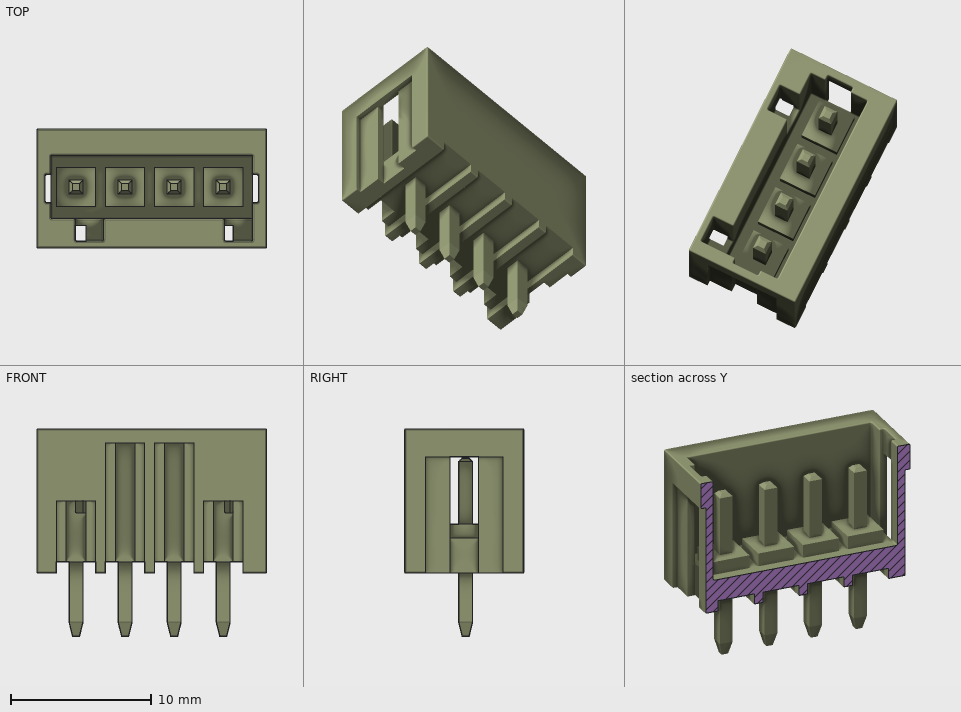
import cadquery as cq
LENGTH = 16.4
WIDTH = 8.5
HEIGHT = 10.3
EDGE_RADIUS = 0.1

CAVITY_LENGTH = 14.4
CAVITY_WIDTH = 4.5
CAVITY_Y = 0.1
FLOOR_Z = 2.5

PIN_COUNT = 4
PIN_PITCH = 3.5
PIN_ROW_X = -0.15
PIN_Y = 0.1
PIN_SIZE = 1.0
PIN_TOP_Z = 8.2
PIN_BOTTOM_Z = -4.5
PIN_TOP_CHAMFER = 0.25
PIN_TIP_INSET = 0.25
PIN_TIP_LENGTH = 1.0
PEDESTAL_SIZE = 2.8
PEDESTAL_TOP_Z = 3.5
PIN_XS = [PIN_ROW_X + (i - (PIN_COUNT - 1) / 2) * PIN_PITCH for i in range(PIN_COUNT)]

LATCH_Y = 0
LATCH_WIDTH = 2.0
LATCH_DEPTH = 0.4
RECESS_WIDTH = 5.5
RECESS_DEPTH = 0.4
RECESS_TOP_Z = 8.3

KEY_WIDTH = 2.0
KEY_FRONT_Y = -3.75
KEY_FLOOR_Z = 4.3
LEFT_KEY_X = -4.45
RIGHT_KEY_X = CAVITY_LENGTH / 2 - KEY_WIDTH / 2

SLOT_WIDTH = 2.8
SLOT_DEPTH = 0.35
INNER_SLOT_WIDTH = 1.4
INNER_SLOT_DEPTH = 1.6
OUTER_SLOT_TOP_Z = 5.15
MIDDLE_SLOT_TOP_Z = 9.3
CHANNEL_DEPTH = 0.8


def box(x_range, y_range, z_range):
    """Axis-aligned block between the given limits."""
    size = [high - low for low, high in (x_range, y_range, z_range)]
    corner = (x_range[0], y_range[0], z_range[0])
    return cq.Workplane("XY").box(*size, centered=False).translate(corner)


def span(center, size):
    """Limits of a length centred on a coordinate."""
    return (center - size / 2, center + size / 2)


def make_shell():
    """Outer block with its edges rounded."""
    block = box(span(0, LENGTH), span(0, WIDTH), (0, HEIGHT))
    return block.edges().fillet(EDGE_RADIUS)


def make_cavity():
    """Space of the cavity with its latch and key pockets, rounded at its corners and floors."""
    latch_length = CAVITY_LENGTH + 2 * LATCH_DEPTH
    cavity = box(span(0, CAVITY_LENGTH), span(CAVITY_Y, CAVITY_WIDTH), (FLOOR_Z, HEIGHT))
    cavity = cavity.union(box(span(0, latch_length), span(LATCH_Y, LATCH_WIDTH), (FLOOR_Z, HEIGHT)))
    for key_x in (LEFT_KEY_X, RIGHT_KEY_X):
        key = box(span(key_x, KEY_WIDTH), (KEY_FRONT_Y, CAVITY_Y), (KEY_FLOOR_Z, HEIGHT))
        cavity = cavity.union(key)
    return cavity.clean().edges("not(>Z)").fillet(EDGE_RADIUS)


def cut_cavity(body):
    """Sink the cavity into the body and round its mouth."""
    body = body.cut(make_cavity())
    inside = cq.selectors.BoxSelector(
        (-LENGTH / 2 + 2 * EDGE_RADIUS, -WIDTH / 2 + 2 * EDGE_RADIUS, HEIGHT - EDGE_RADIUS / 2),
        (LENGTH / 2 - 2 * EDGE_RADIUS, WIDTH / 2 - 2 * EDGE_RADIUS, HEIGHT + EDGE_RADIUS / 2),
    )
    return body.edges(inside).fillet(EDGE_RADIUS)


def cut_end_recesses(body):
    """Recess both end walls and open a window from each recess into the cavity."""
    for side in (-1, 1):
        outer_x = side * LENGTH / 2
        recess_x = sorted((outer_x, outer_x - side * RECESS_DEPTH))
        window_x = sorted((outer_x, side * CAVITY_LENGTH / 2))
        body = body.cut(box(recess_x, span(LATCH_Y, RECESS_WIDTH), (0, RECESS_TOP_Z)))
        body = body.cut(box(window_x, span(LATCH_Y, LATCH_WIDTH), (0, RECESS_TOP_Z)))
    return body


def cut_front_slots(body):
    """Cut the stepped front slot and the underside channel at each pin."""
    front_y = -WIDTH / 2
    for i, x in enumerate(PIN_XS):
        is_outer = i in (0, PIN_COUNT - 1)
        top_z = OUTER_SLOT_TOP_Z if is_outer else MIDDLE_SLOT_TOP_Z
        body = body.cut(box(span(x, SLOT_WIDTH), (front_y, front_y + SLOT_DEPTH), (0, top_z)))
        body = body.cut(box(span(x, INNER_SLOT_WIDTH), (front_y, front_y + INNER_SLOT_DEPTH), (0, top_z)))
        body = body.cut(box(span(x, SLOT_WIDTH), span(0, WIDTH), (0, CHANNEL_DEPTH)))
    return body


def make_pin(x):
    """Square pin with a chamfered top and a tapered tip."""
    shank_bottom_z = PIN_BOTTOM_Z + PIN_TIP_LENGTH
    shank = box(span(x, PIN_SIZE), span(PIN_Y, PIN_SIZE), (shank_bottom_z, PIN_TOP_Z))
    shank = shank.faces(">Z").chamfer(PIN_TOP_CHAMFER)
    tip_size = PIN_SIZE - 2 * PIN_TIP_INSET
    tip = (
        cq.Workplane("XY", origin=(x, PIN_Y, PIN_BOTTOM_Z))
        .rect(tip_size, tip_size)
        .workplane(offset=PIN_TIP_LENGTH)
        .rect(PIN_SIZE, PIN_SIZE)
        .loft(ruled=True)
    )
    return shank.union(tip)


def add_pins(body):
    """Set each pin and its pedestal on the cavity floor."""
    for x in PIN_XS:
        pedestal = box(span(x, PEDESTAL_SIZE), span(PIN_Y, PEDESTAL_SIZE), (CHANNEL_DEPTH, PEDESTAL_TOP_Z))
        body = body.union(pedestal).union(make_pin(x))
    return body


housing = cut_front_slots(cut_end_recesses(cut_cavity(make_shell())))
result = add_pins(housing)